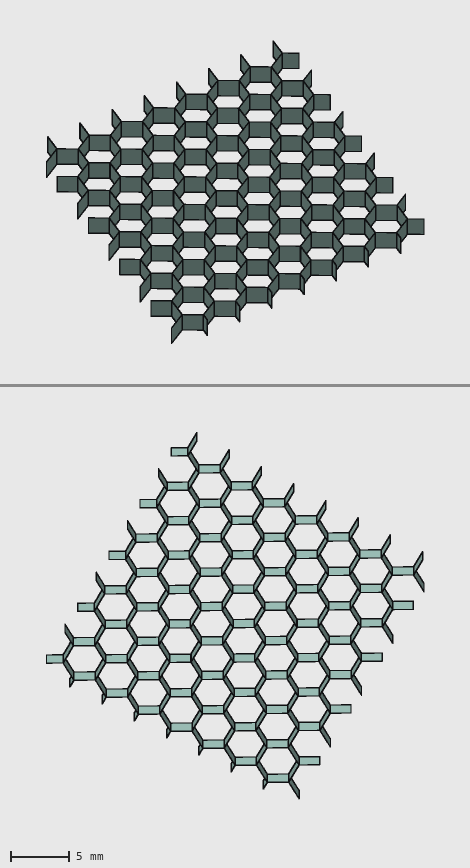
import cadquery as cq
import math

side = 25
height = 2

cell_flats = 3.12
wall = 0.05
row_pitch = cell_flats + wall
column_pitch = 2.72
cell_diameter = cell_flats * 2 / math.sqrt(3)

first_x = 0.68
first_y = -0.05

columns = math.ceil((side - first_x) / column_pitch) + 1
rows = math.ceil((side - first_y) / row_pitch) + 1


def cell_centres():
    """Staggered grid: every other column is raised by half a row."""
    centres = []
    for column in range(columns):
        rise = row_pitch / 2 if column % 2 else 0
        for row in range(rows):
            x = first_x + column * column_pitch
            y = first_y + row * row_pitch + rise
            centres.append((x, y))
    return centres


panel = cq.Workplane("XY").rect(side, side).extrude(height)
panel = panel.translate((side / 2, side / 2, 0))
cells = cq.Workplane("XY").pushPoints(cell_centres()).polygon(6, cell_diameter).extrude(height)
result = panel.cut(cells)